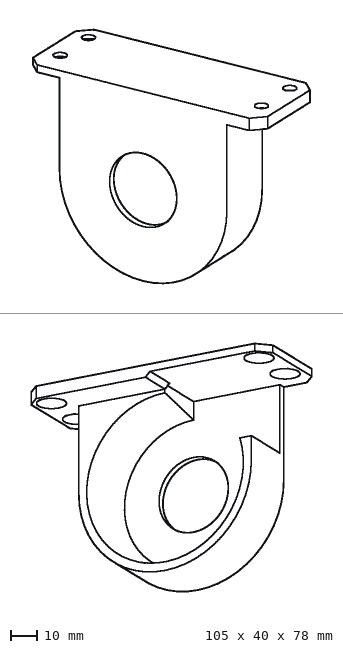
import cadquery as cq

plate_length = 105
plate_depth = 40.0
plate_thin = 3.0
plate_thick = 5.0
corner_cut = 5.0
screw_diameter = 5.2
sink_depth = plate_thin
sink_diameter = screw_diameter + 2 * sink_depth
screw_end_inset = 7.5
screw_spacing_y = 20
screw_center_y = 22.5

total_height = 78.0
housing_width = 75.0
housing_depth = 25.0
housing_radius = housing_width / 2
axis_z = housing_radius - total_height

wall = 3.0
bore_diameter = 30.0
cavity_front_radius = 30.0
cavity_rear_radius = 34.0
cavity_depth = housing_depth - wall

arm_rise = 10.0
opening_height = -plate_thin - (axis_z + arm_rise)


def make_plate():
    """Plate whose underside steps down along a 45 degree slope ending at X = 0."""
    half = plate_length / 2
    step = plate_thick - plate_thin
    profile = [
        (-half, 0),
        (half, 0),
        (half, -plate_thick),
        (0, -plate_thick),
        (-step, -plate_thin),
        (-half, -plate_thin),
    ]
    plate = cq.Workplane("XZ").polyline(profile).close().extrude(-plate_depth)
    return plate.edges("|Z").edges("<X or >X").chamfer(corner_cut)


def make_housing():
    return (
        cq.Workplane("XZ")
        .moveTo(-housing_radius, 0)
        .lineTo(-housing_radius, axis_z)
        .threePointArc((0, -total_height), (housing_radius, axis_z))
        .lineTo(housing_radius, 0)
        .close()
        .extrude(-housing_depth)
    )


def make_cavity():
    """Cone that widens from the front wall to the open rear."""
    cone = cq.Solid.makeCone(
        cavity_front_radius,
        cavity_rear_radius,
        cavity_depth,
        pnt=cq.Vector(0, wall, axis_z),
        dir=cq.Vector(0, 1, 0),
    )
    return cq.Workplane(obj=cone)


def make_bore():
    return (
        cq.Workplane("XZ")
        .center(0, axis_z)
        .circle(bore_diameter / 2)
        .extrude(-housing_depth)
    )


def make_side_opening():
    return (
        cq.Workplane("XY")
        .box(housing_radius, cavity_depth, opening_height, centered=False)
        .translate((-housing_radius, wall, axis_z + arm_rise))
    )


def make_screw_hole(x, y, thickness):
    """Through hole countersunk from the underside of a plate of the given thickness."""
    shank = cq.Workplane("XY").center(x, y).circle(screw_diameter / 2).extrude(-thickness)
    sink = cq.Solid.makeCone(
        sink_diameter / 2,
        screw_diameter / 2,
        sink_depth,
        pnt=cq.Vector(x, y, -thickness),
        dir=cq.Vector(0, 0, 1),
    )
    return shank.union(cq.Workplane(obj=sink))


result = (
    make_plate()
    .union(make_housing())
    .cut(make_cavity())
    .cut(make_bore())
    .cut(make_side_opening())
)

screw_x = plate_length / 2 - screw_end_inset
for x, thickness in ((-screw_x, plate_thin), (screw_x, plate_thick)):
    for side in (-1, 1):
        y = screw_center_y + side * screw_spacing_y / 2
        result = result.cut(make_screw_hole(x, y, thickness))